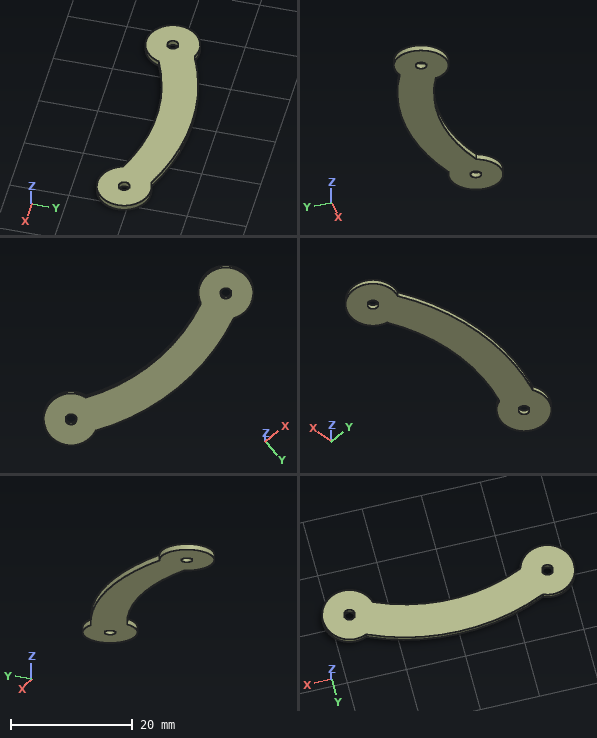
import cadquery as cq
import math

overall_length = 42.5
thickness = 1.0
end_diameter = 9.0
hole_diameter = 1.8
band_width = 6.0
outer_crown = 7.3
outer_radius = 36.75

hole_spacing = overall_length - end_diameter
inner_radius = outer_radius - band_width
arc_centre_y = outer_crown - outer_radius
hole_centres = [(-hole_spacing / 2, 0), (hole_spacing / 2, 0)]


def arc_point(radius, angle):
    """Point on a band arc, with the angle measured from the +Y direction."""
    return (radius * math.sin(angle), arc_centre_y + radius * math.cos(angle))


def curved_band():
    """Concentric band whose two ends lie on the rays through the hole centres."""
    half_angle = math.atan2(hole_spacing / 2, -arc_centre_y)
    return (
        cq.Workplane("XY")
        .moveTo(*arc_point(outer_radius, -half_angle))
        .threePointArc(arc_point(outer_radius, 0), arc_point(outer_radius, half_angle))
        .lineTo(*arc_point(inner_radius, half_angle))
        .threePointArc(arc_point(inner_radius, 0), arc_point(inner_radius, -half_angle))
        .close()
        .extrude(thickness)
    )


def discs(diameter):
    """One disc of the given diameter at each hole centre."""
    return cq.Workplane("XY").pushPoints(hole_centres).circle(diameter / 2).extrude(thickness)


result = curved_band().union(discs(end_diameter)).cut(discs(hole_diameter))